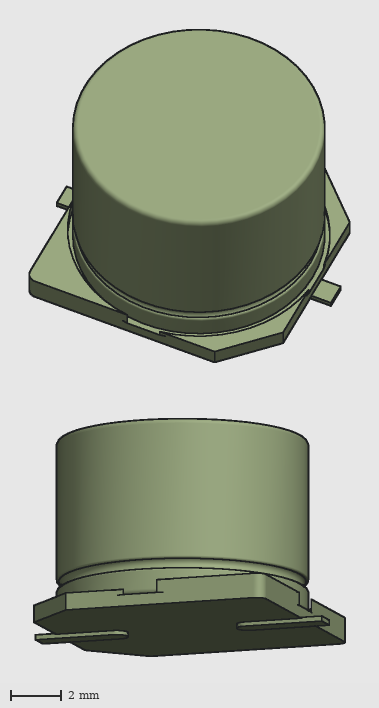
import cadquery as cq
import math

plate_width = 10.3
plate_bottom = 0.17
plate_top = 1.15
low_top = 0.85
corner_chamfer = 2.04
corner_radius = 0.4
pocket_radius = 5.2
pocket_floor = 0.64

can_radius = 10.0 / 2
can_top = 7.7
edge_radius = 0.2
groove_height = 1.86
groove_half_opening = 0.29
lip_radius = 0.1
groove_depth = 0.19

overall_length = 12.0
lead_length = 3.7
lead_width = 0.92
lead_thickness = 0.2


def make_plate():
    """Square plate with a lowered +X half and a round seat for the can."""
    half = plate_width / 2
    plate = cq.Workplane("XY").box(
        plate_width, plate_width, plate_top - plate_bottom, centered=(True, True, False)
    )
    plate = plate.translate((0, 0, plate_bottom))
    plate = plate.edges("|Z and >X").chamfer(corner_chamfer)
    plate = plate.edges("|Z and <X").fillet(corner_radius)
    lowered_half = (
        cq.Workplane("XY", origin=(half / 2, 0, low_top))
        .box(half, plate_width, plate_top - low_top, centered=(True, True, False))
    )
    pocket = (
        cq.Workplane("XY", origin=(0, 0, pocket_floor))
        .circle(pocket_radius)
        .extrude(plate_top - pocket_floor)
    )
    return plate.cut(lowered_half).cut(pocket)


def make_can():
    """Revolved can with rounded ends and a crimp groove with rounded lips."""
    diagonal = math.sqrt(0.5)
    edge_inset = edge_radius * (1 - diagonal)
    lip_inset = lip_radius * (1 - diagonal)
    lower_lip = groove_height - groove_half_opening
    upper_lip = groove_height + groove_half_opening
    throat_radius = can_radius - lip_radius
    profile = (
        cq.Workplane("XZ")
        .moveTo(0, pocket_floor)
        .lineTo(can_radius - edge_radius, pocket_floor)
        .threePointArc(
            (can_radius - edge_inset, pocket_floor + edge_inset),
            (can_radius, pocket_floor + edge_radius),
        )
        .lineTo(can_radius, lower_lip)
        .threePointArc(
            (can_radius - lip_inset, lower_lip + lip_radius * diagonal),
            (throat_radius, lower_lip + lip_radius),
        )
        .threePointArc(
            (can_radius - groove_depth, groove_height),
            (throat_radius, upper_lip - lip_radius),
        )
        .threePointArc(
            (can_radius - lip_inset, upper_lip - lip_radius * diagonal),
            (can_radius, upper_lip),
        )
        .lineTo(can_radius, can_top - edge_radius)
        .threePointArc(
            (can_radius - edge_inset, can_top - edge_inset),
            (can_radius - edge_radius, can_top),
        )
        .lineTo(0, can_top)
        .close()
    )
    return profile.revolve(360, (0, 0, 0), (0, 1, 0))


def make_lead(side):
    """Flat lead with a full-round inner end; side is -1 or +1 along X."""
    outer_x = side * overall_length / 2
    inner_x = outer_x - side * lead_length
    round_x = inner_x + side * lead_width / 2
    half = lead_width / 2
    return (
        cq.Workplane("XY")
        .moveTo(outer_x, -half)
        .lineTo(round_x, -half)
        .threePointArc((inner_x, 0), (round_x, half))
        .lineTo(outer_x, half)
        .close()
        .extrude(lead_thickness)
    )


result = make_plate().union(make_can())
for side in (-1, 1):
    result = result.union(make_lead(side))